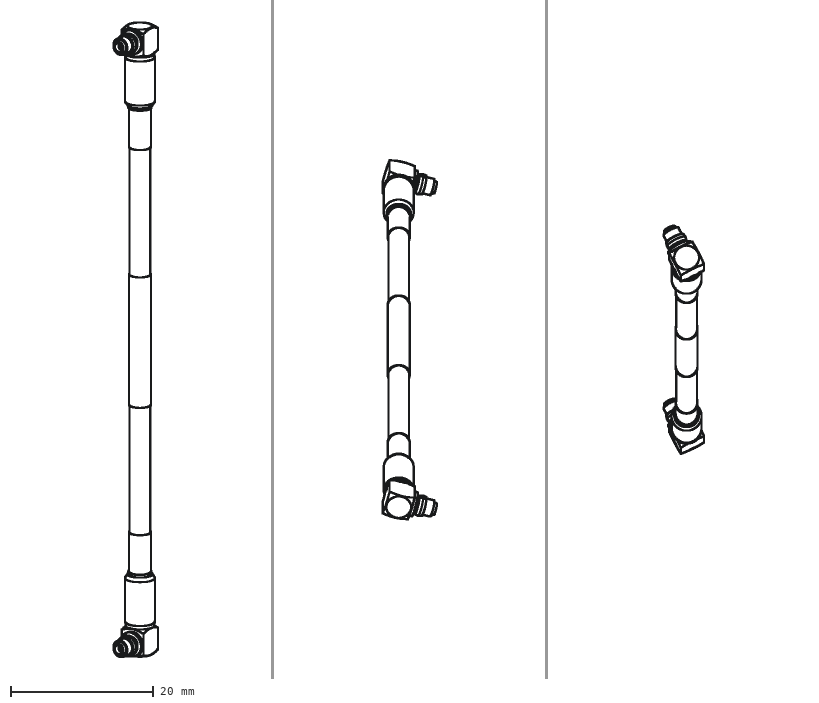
import cadquery as cq

LENGTH = 92.0
END_Z = LENGTH / 2

CABLE_RADIUS = 1.5
SLEEVE_RADIUS = 1.6
LABEL_LENGTH = 19.1
SLEEVE_BOTTOM_Z = 28.2
FERRULE_BOTTOM_Z = 34.0

FERRULE_RADIUS = 2.1
FERRULE_TOP_Z = 41.4
FERRULE_LIP_RADIUS = 1.7
FERRULE_LIP_LENGTH = 0.4
FERRULE_TAPER_RADIUS = 1.75
FERRULE_TAPER_LENGTH = 0.55

BLOCK_WIDTH = 3.7
BLOCK_HEIGHT = 4.05
BLOCK_BOTTOM_Z = END_Z - BLOCK_HEIGHT
NECK_RADIUS = 2.0
CAP_RADIUS = 1.75
CORNER_RADIUS = BLOCK_WIDTH / 2 * 2 ** 0.5
CORNER_DROP = 0.5

FLANGE_RADIUS = 1.75
PLUG_Z = END_Z - BLOCK_WIDTH / 2
FLANGE_END = 2.3
THROAT_RADIUS = 1.2
RING_RADIUS = 1.5
RING_EDGE_RADIUS = 1.4
RING_START = 2.7
RING_END = 3.7
RING_PEAK = (RING_START + RING_END) / 2
RING_GAP = 0.55
BARREL_RADIUS = 1.2
BARREL_END = 4.9
TIP_BASE_RADIUS = 1.0
TIP_RADIUS = 0.8
PLUG_END = 5.3
BORE_RADIUS = 0.6
BORE_DEPTH = 0.9
PIN_RADIUS = 0.3
PIN_TIP_RADIUS = 0.1
PIN_LENGTH = 0.55


def rod(radius, bottom, top):
    """Cylinder on the cable axis."""
    return cq.Workplane("XY").workplane(offset=bottom).circle(radius).extrude(top - bottom)


def tube(outer_radius, bottom, top):
    """Sleeve that fits closely around the cable."""
    return rod(outer_radius, bottom, top).cut(rod(CABLE_RADIUS, bottom, top))


def plug_rod(radius, start, end):
    """Cylinder on the plug axis between two distances from the cable axis."""
    plane = cq.Plane(origin=(0, -start, PLUG_Z), xDir=(1, 0, 0), normal=(0, -1, 0))
    return cq.Workplane(plane).circle(radius).extrude(end - start)


def plug_cone(start_radius, end_radius, start, end):
    """Cone on the plug axis whose radius changes between two distances from the cable axis."""
    cone = cq.Solid.makeCone(
        start_radius, end_radius, end - start, cq.Vector(0, -start, PLUG_Z), cq.Vector(0, -1, 0)
    )
    return cq.Workplane(cone)


def make_ferrule():
    """Crimp ferrule: a cylinder that tapers to a thin lip at its lower end."""
    taper_bottom = FERRULE_BOTTOM_Z + FERRULE_LIP_LENGTH
    profile = [
        (CABLE_RADIUS, FERRULE_BOTTOM_Z),
        (FERRULE_LIP_RADIUS, FERRULE_BOTTOM_Z),
        (FERRULE_LIP_RADIUS, taper_bottom),
        (FERRULE_TAPER_RADIUS, taper_bottom),
        (FERRULE_RADIUS, taper_bottom + FERRULE_TAPER_LENGTH),
        (FERRULE_RADIUS, FERRULE_TOP_Z),
        (CABLE_RADIUS, FERRULE_TOP_Z),
    ]
    return cq.Workplane("XZ").polyline(profile).close().revolve(360, (0, 0), (0, 1))


def make_block():
    """Square block whose corners are cut conically at both ends, like a nut."""
    base = cq.Workplane("XY").workplane(offset=BLOCK_BOTTOM_Z)
    block = base.rect(BLOCK_WIDTH, BLOCK_WIDTH).extrude(BLOCK_HEIGHT)
    envelope_profile = [
        (0, BLOCK_BOTTOM_Z),
        (CAP_RADIUS, BLOCK_BOTTOM_Z),
        (CORNER_RADIUS, BLOCK_BOTTOM_Z + CORNER_DROP),
        (CORNER_RADIUS, END_Z - CORNER_DROP),
        (CAP_RADIUS, END_Z),
        (0, END_Z),
    ]
    envelope = cq.Workplane("XZ").polyline(envelope_profile).close().revolve(360, (0, 0), (0, 1))
    return block.intersect(envelope)


def make_snap_ring():
    """Ring made of two cones that meet at a ridge, with a gap on its -X side."""
    ring = plug_cone(RING_EDGE_RADIUS, RING_RADIUS, RING_START, RING_PEAK)
    ring = ring.union(plug_cone(RING_RADIUS, RING_EDGE_RADIUS, RING_PEAK, RING_END))
    gap = cq.Workplane("XY").box(RING_RADIUS, RING_END - RING_START, RING_GAP)
    gap = gap.translate((-RING_RADIUS / 2, -RING_PEAK, PLUG_Z))
    return ring.cut(gap)


def make_plug():
    """Stepped contact with a front recess around a pointed centre pin."""
    plug = plug_rod(FLANGE_RADIUS, 0, FLANGE_END)
    plug = plug.union(plug_rod(THROAT_RADIUS, FLANGE_END, RING_END))
    plug = plug.union(make_snap_ring())
    plug = plug.union(plug_rod(BARREL_RADIUS, RING_END, BARREL_END))
    plug = plug.union(plug_cone(TIP_BASE_RADIUS, TIP_RADIUS, BARREL_END, PLUG_END))
    bore_floor = PLUG_END - BORE_DEPTH
    plug = plug.cut(plug_rod(BORE_RADIUS, bore_floor, PLUG_END))
    return plug.union(plug_cone(PIN_RADIUS, PIN_TIP_RADIUS, bore_floor, bore_floor + PIN_LENGTH))


def make_housing():
    """One-piece right-angle housing: neck, block and plug."""
    neck = rod(NECK_RADIUS, FERRULE_TOP_Z, BLOCK_BOTTOM_Z)
    return make_block().union(neck).union(make_plug())


def at_both_ends(body):
    """The body at the upper end and its mirror copy at the lower end."""
    return [body.val(), body.mirror("XY").val()]


cable = rod(CABLE_RADIUS, -FERRULE_TOP_Z, FERRULE_TOP_Z)
label = tube(SLEEVE_RADIUS, -LABEL_LENGTH / 2, LABEL_LENGTH / 2)
end_sleeves = at_both_ends(tube(SLEEVE_RADIUS, SLEEVE_BOTTOM_Z, FERRULE_BOTTOM_Z))
ferrules = at_both_ends(make_ferrule())
housings = at_both_ends(make_housing())

result = cq.Compound.makeCompound([cable.val(), label.val(), *end_sleeves, *ferrules, *housings])